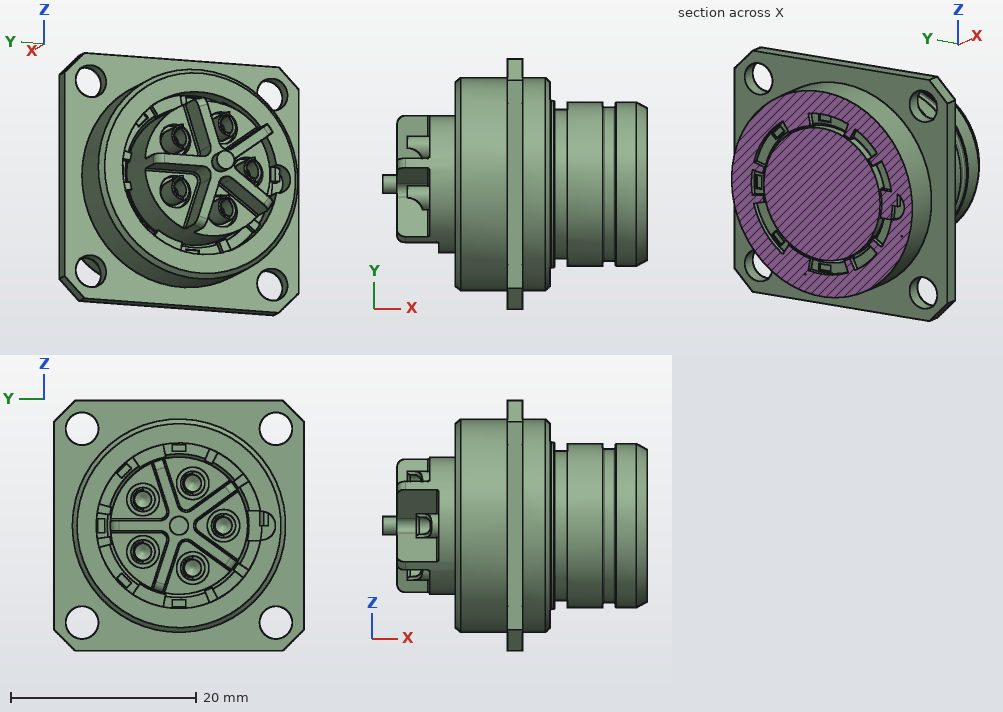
import cadquery as cq
import math


arm_face = 1.55
insert_face = 5.07
ground_face = 6.05
shell_front = 7.82
tab_face = 9.4
ring_face = 10.1
flange_front = 13.44
flange_back = 15.1
shell_back = 18.06
collar_back = 18.54
neck_back = 19.93
groove_front = 23.72
groove_back = 25.1
nose_start = 27.35
total_length = 28.55

flange_side = 27.0
flange_corner = 2.3
mount_pitch = 20.9
mount_diameter = 3.5

shell_radius = 11.5
shell_front_chamfer = (0.6, 0.5)
shell_back_chamfer = 0.5
collar_radius = 9.0
collar_root = 0.15
collar_chamfer = 0.1
neck_radius = 8.08
rear_radius = 8.85
groove_radius = 8.3
groove_corner_radius = 0.2
groove_edge_chamfer = 0.1
nose_radius = 8.2
bore_radius = 8.93

sectors = 5
insert_radius = 7.4
arm_half_width = 0.54
root_chamfer = 0.2
sector_corner_radius = 0.96
arm_tip_fillet = 0.9
pin_radius = 1.0

contact_circle = 4.8
contact_radius = 1.3
contact_bore_radius = 0.92
contact_mouth_chamfer = 0.15
contact_standout = 2.4
contact_bore_depth = 4.0
contact_pocket_radius = 1.75
contact_pocket_depth = 1.0
cup_cut_radius = 1.7
drill_half_angle = 59.0

ring_bevel_radius = 7.75
ring_bevel_depth = 0.5
tab_clearance_radius = 7.55
tab_spans = [(9.0, 15.2), (56.0, 79.0), (111.6, 118.0), (141.0, 147.6)]
key_tab_width = 3.2
window_angles = [0, 45, 90, 270, 315]
window_width = 1.5
window_inner_radius = 8.0
window_outer_radius = 8.75
window_depth = 0.3

keyway_radius = 1.55
keyway_center_radius = 8.85
key_stop_inner = 8.72
key_stop_outer = 9.6
key_stop_ramp = 0.4


def at(x):
    """Workplane across the axis at station x: local x is Y, local y is Z."""
    return cq.Workplane("YZ", origin=(x, 0, 0))


def disc(x0, x1, radius):
    return at(x0).circle(radius).extrude(x1 - x0)


def polar(radius, degrees):
    angle = math.radians(degrees)
    return (radius * math.cos(angle), radius * math.sin(angle))


def make_body():
    front_length, front_drop = shell_front_chamfer
    corner_step = groove_corner_radius * (1 - math.sqrt(0.5))
    profile = (
        cq.Workplane("XY")
        .moveTo(shell_front, 0)
        .lineTo(shell_front, shell_radius - front_drop)
        .lineTo(shell_front + front_length, shell_radius)
        .lineTo(shell_back - shell_back_chamfer, shell_radius)
        .lineTo(shell_back, shell_radius - shell_back_chamfer)
        .lineTo(shell_back, collar_radius + collar_root)
        .lineTo(shell_back + collar_root, collar_radius)
        .lineTo(collar_back - collar_chamfer, collar_radius)
        .lineTo(collar_back, collar_radius - collar_chamfer)
        .lineTo(collar_back, neck_radius)
        .lineTo(neck_back, neck_radius)
        .lineTo(neck_back, rear_radius)
        .lineTo(groove_front, rear_radius)
        .lineTo(groove_front, groove_radius + groove_corner_radius)
        .threePointArc(
            (groove_front + corner_step, groove_radius + corner_step),
            (groove_front + groove_corner_radius, groove_radius),
        )
        .lineTo(groove_back - groove_corner_radius, groove_radius)
        .threePointArc(
            (groove_back - corner_step, groove_radius + corner_step),
            (groove_back, groove_radius + groove_corner_radius),
        )
        .lineTo(groove_back, rear_radius - groove_edge_chamfer)
        .lineTo(groove_back + groove_edge_chamfer, rear_radius)
        .lineTo(nose_start, rear_radius)
        .lineTo(total_length, nose_radius)
        .lineTo(total_length, 0)
        .close()
    )
    body = profile.revolve(360, (0, 0, 0), (1, 0, 0))
    flange = (
        at(flange_front)
        .rect(flange_side, flange_side)
        .extrude(flange_back - flange_front)
        .edges("|X")
        .chamfer(flange_corner)
    )
    holes = (
        at(flange_front)
        .rect(mount_pitch, mount_pitch, forConstruction=True)
        .vertices()
        .circle(mount_diameter / 2)
        .extrude(flange_back - flange_front)
    )
    return body.union(flange.cut(holes))


def keyway_cylinder():
    return disc(shell_front, ring_face, keyway_radius).translate((0, -keyway_center_radius, 0))


def cut_gap(body):
    """Open the shell mouth: annular gap, bevel beside the insert, and keyway."""
    body = body.cut(disc(shell_front, ring_face, bore_radius))
    bevel = (
        cq.Workplane("XY")
        .polyline([
            (ring_face, insert_radius),
            (ring_face, ring_bevel_radius),
            (ring_face + ring_bevel_depth, insert_radius),
        ])
        .close()
        .revolve(360, (0, 0, 0), (1, 0, 0))
    )
    return body.cut(bevel).cut(keyway_cylinder())


def ring_span(start, end):
    """Annular tab between two angles, from insert to bore."""
    middle = (start + end) / 2
    return (
        at(tab_face)
        .moveTo(*polar(insert_radius, start))
        .lineTo(*polar(bore_radius, start))
        .threePointArc(polar(bore_radius, middle), polar(bore_radius, end))
        .lineTo(*polar(insert_radius, end))
        .threePointArc(polar(insert_radius, middle), polar(insert_radius, start))
        .close()
        .extrude(ring_face + ring_bevel_depth - tab_face)
    )


def add_ring_details(body):
    for start, end in tab_spans:
        body = body.union(ring_span(start, end))
        body = body.union(ring_span(-end, -start))
    key_tab = (
        at(tab_face)
        .center(-bore_radius / 2, 0)
        .rect(bore_radius, key_tab_width)
        .extrude(ring_face + ring_bevel_depth - tab_face)
        .intersect(disc(tab_face, ring_face + ring_bevel_depth, bore_radius))
    )
    key_stop = (
        cq.Workplane("XY")
        .polyline([
            (ring_face, -key_stop_inner),
            (tab_face, -key_stop_inner),
            (tab_face - key_stop_ramp, -key_stop_inner - key_stop_ramp),
            (tab_face - key_stop_ramp, -key_stop_outer),
            (ring_face, -key_stop_outer),
        ])
        .close()
        .extrude(keyway_radius)
        .intersect(keyway_cylinder())
    )
    body = body.union(key_tab).union(key_stop)
    body = body.cut(disc(tab_face, ring_face, tab_clearance_radius))
    for angle in window_angles:
        window = (
            at(ring_face)
            .transformed(rotate=(0, 0, angle))
            .center((window_inner_radius + window_outer_radius) / 2, 0)
            .rect(window_outer_radius - window_inner_radius, window_width)
            .extrude(window_depth)
        )
        body = body.cut(window)
    return body


def sector_pocket(floor):
    """Open wedge between two arms along local +Y, bevelled where it meets its floor."""
    half_angle = 180 / sectors
    apex = arm_half_width / math.sin(math.radians(half_angle))
    reach = 2 * insert_radius
    side = polar(reach, half_angle)
    wedge = (
        at(arm_face)
        .polyline([(apex, 0), (apex + side[0], side[1]), (apex + side[0], -side[1])])
        .close()
        .extrude(floor - arm_face)
        .edges("|X and <Y")
        .fillet(sector_corner_radius)
    )
    return wedge.faces(">X").chamfer(root_chamfer)


def make_insert():
    insert = disc(arm_face, ring_face + ring_bevel_depth, insert_radius)
    insert = insert.faces("<X").edges().fillet(arm_tip_fillet)
    for index in range(sectors):
        floor = ground_face if index == 0 else insert_face
        pocket = sector_pocket(floor).rotate((0, 0, 0), (1, 0, 0), 180 + index * 360 / sectors)
        insert = insert.cut(pocket)
    return insert.union(disc(0, insert_face, pin_radius))


def contact_pocket(floor):
    return disc(floor, floor + contact_pocket_depth, contact_pocket_radius)


def make_contact(floor):
    """Solder cup on the X axis, its -Y half scooped away at the open end, and its bore."""
    tip = floor - contact_standout
    bore_end = tip + contact_bore_depth
    cone_length = contact_bore_radius / math.tan(math.radians(drill_half_angle))
    mouth = contact_bore_radius + contact_mouth_chamfer
    cup = disc(tip, floor + contact_pocket_depth, contact_radius)
    bore = (
        cq.Workplane("XY")
        .polyline([
            (tip, 0),
            (tip, mouth),
            (tip + 2 * contact_mouth_chamfer, contact_bore_radius),
            (bore_end, contact_bore_radius),
            (bore_end + cone_length, 0),
        ])
        .close()
        .revolve(360, (0, 0, 0), (1, 0, 0))
    )
    arc_middle = cup_cut_radius * math.sqrt(0.5)
    scoop = (
        cq.Workplane("XY", origin=(tip, 0, 0))
        .moveTo(-cup_cut_radius, 0)
        .lineTo(0, 0)
        .threePointArc(
            (arc_middle, arc_middle - cup_cut_radius),
            (cup_cut_radius, -cup_cut_radius),
        )
        .lineTo(-cup_cut_radius, -cup_cut_radius)
        .close()
        .extrude(cup_cut_radius, both=True)
    )
    return cup.cut(scoop), bore


def add_contacts(part):
    for index in range(sectors):
        floor = ground_face if index == 0 else insert_face
        y, z = polar(contact_circle, 180 + index * 360 / sectors)
        cup, bore = make_contact(floor)
        part = part.cut(contact_pocket(floor).translate((0, y, z)))
        part = part.union(cup.translate((0, y, z)))
        part = part.cut(bore.translate((0, y, z)))
    return part


body = add_ring_details(cut_gap(make_body()))
result = add_contacts(body.union(make_insert()))